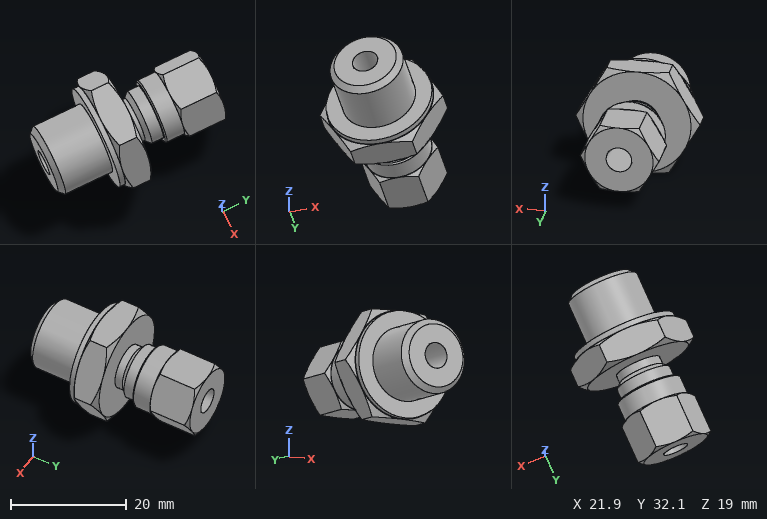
import cadquery as cq
import math


THREAD_CHAMFER = 1.0
THREAD_END = 10.0
FLANGE_END = 11.0
BODY_HEX_END = 16.0
NECK_END = 17.5
SEAT_CONE_END = 18.35
NUT_START = 20.55
NUT_HEX_START = 24.13
TOTAL_LENGTH = 32.1

THREAD_RADIUS = 6.5
FLANGE_RADIUS = 9.4
NECK_RADIUS = 4.08
SEAT_RADIUS = 5.0
NUT_COLLAR_RADIUS = 5.95
NUT_COLLAR_CHAMFER = 0.25
BORE_RADIUS = 2.25

BODY_ACROSS_FLATS = 19.0
NUT_ACROSS_FLATS = 12.0
CORNER_CHAMFER_ANGLE = 30.0
HALF_FACE_ANGLE = 180.0 / 6


def revolve_outline(points):
    """Revolve a closed outline of (radius, station) points about the Y axis."""
    return cq.Workplane("XY").polyline(points).close().revolve(360, (0, 0, 0), (0, 1, 0))


def chamfered_hexagon(start, end, across_flats):
    """Hexagonal prism with corners on the X axis, turned conical at both ends."""
    flat_radius = across_flats / 2
    corner_radius = flat_radius / math.cos(math.radians(HALF_FACE_ANGLE))
    drop = (corner_radius - flat_radius) * math.tan(math.radians(CORNER_CHAMFER_ANGLE))
    prism = (
        cq.Workplane("XZ", origin=(0, start, 0))
        .polygon(6, 2 * corner_radius)
        .extrude(start - end)
    )
    turned_envelope = revolve_outline([
        (0, start),
        (flat_radius, start),
        (corner_radius, start + drop),
        (corner_radius, end - drop),
        (flat_radius, end),
        (0, end),
    ])
    return prism.intersect(turned_envelope)


core = revolve_outline([
    (0, 0),
    (THREAD_RADIUS - THREAD_CHAMFER, 0),
    (THREAD_RADIUS, THREAD_CHAMFER),
    (THREAD_RADIUS, THREAD_END),
    (FLANGE_RADIUS, THREAD_END),
    (FLANGE_RADIUS, FLANGE_END),
    (NECK_RADIUS, FLANGE_END),
    (NECK_RADIUS, NECK_END),
    (SEAT_RADIUS, SEAT_CONE_END),
    (SEAT_RADIUS, NUT_START),
    (NUT_COLLAR_RADIUS - NUT_COLLAR_CHAMFER, NUT_START),
    (NUT_COLLAR_RADIUS, NUT_START + NUT_COLLAR_CHAMFER),
    (NUT_COLLAR_RADIUS, NUT_HEX_START),
    (0, NUT_HEX_START),
])

body_hexagon = chamfered_hexagon(FLANGE_END, BODY_HEX_END, BODY_ACROSS_FLATS)
nut_hexagon = chamfered_hexagon(NUT_HEX_START, TOTAL_LENGTH, NUT_ACROSS_FLATS)

bore = cq.Workplane("XZ").circle(BORE_RADIUS).extrude(-TOTAL_LENGTH)

result = core.union(body_hexagon).union(nut_hexagon).cut(bore)